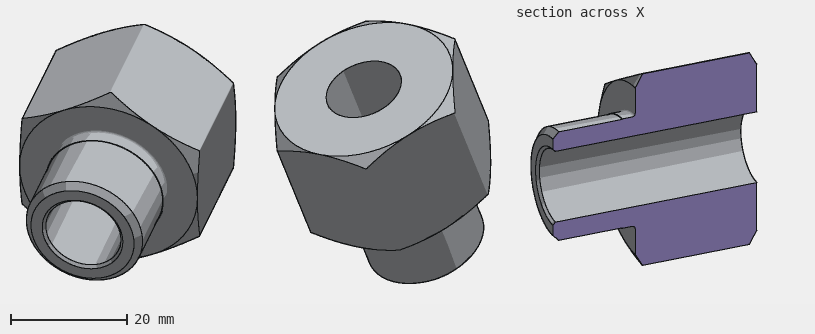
import cadquery as cq
import math

total_length = 38.5
hex_length = 23.0
hex_across_flats = 32.0
hex_edge_radius = 0.3
hex_chamfer_angle = 30.0

spigot_diameter = 20.95
neck_diameter = 21.15
neck_length = 2.43
neck_fillet = 0.55
tip_chamfer_radial = 1.2
tip_chamfer_axial = 1.1

bore_diameter = 13.5
bore_chamfer = 0.5

back_y = total_length / 2
tip_y = -total_length / 2
shoulder_y = back_y - hex_length


def revolve_profile(profile):
    """Revolve a closed (radius, y) profile about the Y axis."""
    return profile.close().revolve(360, (0, 0, 0), (0, 1, 0))


def make_hexagon():
    """Hexagon with corners on Z, rounded long edges and coned ends."""
    across_corners = hex_across_flats / math.cos(math.radians(30))
    prism = (
        cq.Workplane("XZ", origin=(0, back_y, 0))
        .transformed(rotate=(0, 0, 90))
        .polygon(6, across_corners)
        .extrude(hex_length)
        .edges("|Y")
        .fillet(hex_edge_radius)
    )
    face_radius = hex_across_flats / 2
    envelope_radius = across_corners / 2
    cone_depth = (envelope_radius - face_radius) * math.tan(math.radians(hex_chamfer_angle))
    envelope = revolve_profile(
        cq.Workplane("XY")
        .moveTo(0, shoulder_y)
        .lineTo(face_radius, shoulder_y)
        .lineTo(envelope_radius, shoulder_y + cone_depth)
        .lineTo(envelope_radius, back_y - cone_depth)
        .lineTo(face_radius, back_y)
        .lineTo(0, back_y)
    )
    return prism.intersect(envelope)


def make_spigot():
    """Chamfered spigot with a slightly thicker neck, filleted into the shoulder."""
    neck_radius = neck_diameter / 2
    spigot_radius = spigot_diameter / 2
    neck_y = shoulder_y - neck_length
    fillet_y = shoulder_y - neck_fillet
    fillet_offset = neck_fillet * (1 - math.sqrt(0.5))
    return revolve_profile(
        cq.Workplane("XY")
        .moveTo(0, tip_y)
        .lineTo(spigot_radius - tip_chamfer_radial, tip_y)
        .lineTo(spigot_radius, tip_y + tip_chamfer_axial)
        .lineTo(spigot_radius, neck_y)
        .lineTo(neck_radius, neck_y)
        .lineTo(neck_radius, fillet_y)
        .threePointArc(
            (neck_radius + fillet_offset, shoulder_y - fillet_offset),
            (neck_radius + neck_fillet, shoulder_y),
        )
        .lineTo(0, shoulder_y)
    )


def make_bore():
    """Through bore with a chamfered mouth at the spigot tip."""
    bore_radius = bore_diameter / 2
    return revolve_profile(
        cq.Workplane("XY")
        .moveTo(0, tip_y)
        .lineTo(bore_radius + bore_chamfer, tip_y)
        .lineTo(bore_radius, tip_y + bore_chamfer)
        .lineTo(bore_radius, back_y)
        .lineTo(0, back_y)
    )


result = make_hexagon().union(make_spigot()).cut(make_bore())